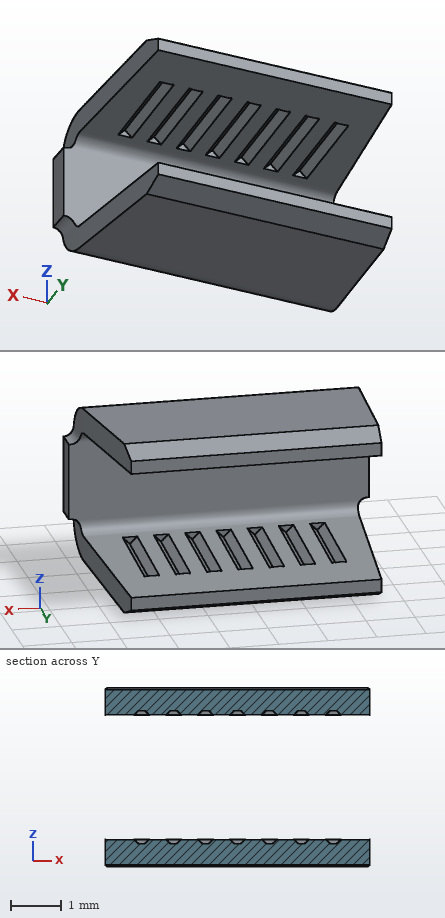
import cadquery as cq
import math

length = 6.12
depth = 3.94
height = 3.56

sheet = 0.51
inner_radius = 0.265
outer_radius = inner_radius + sheet
base_half_height = 0.825

tip_thickness = 0.27
wedge_depth = 0.48

root_half_width = 2.86
bend_half_width = 2.815
tip_half_width = 2.55

tab_half_height = 0.79
tab_fillet = 0.195

groove_count = 7
groove_pitch = 0.635
groove_width = 0.3
groove_depth = 0.15
groove_start = 0.93
groove_end = 2.93
groove_clearance = 0.06

ridge_y = depth - wedge_depth
ridge_rise = height / 2 - base_half_height
ridge_run = ridge_y - outer_radius
ridge_distance = math.hypot(ridge_run, ridge_rise)
lean = math.atan2(ridge_rise, ridge_run) - math.asin(outer_radius / ridge_distance)


def bend_point(radius, angle):
    """Point (y, z) on the upper bend, with the angle measured from the base."""
    return (
        outer_radius - radius * math.cos(angle),
        base_half_height + radius * math.sin(angle),
    )


bend_angle = math.pi / 2 - lean
outer_bend_end = bend_point(outer_radius, bend_angle)
inner_bend_end = bend_point(inner_radius, bend_angle)


def inner_leg_z(y):
    """Height of the upper leg's inner face at depth y."""
    return inner_bend_end[1] + (y - inner_bend_end[0]) * math.tan(lean)


def bent_sheet():
    """Upper half of the U section, run along X and mirrored."""
    tip_z = inner_leg_z(depth)
    half = (
        cq.Workplane("YZ")
        .moveTo(0, 0)
        .lineTo(0, base_half_height)
        .threePointArc(bend_point(outer_radius, bend_angle / 2), outer_bend_end)
        .lineTo(ridge_y, height / 2)
        .lineTo(depth, tip_z + tip_thickness)
        .lineTo(depth, tip_z)
        .lineTo(*inner_bend_end)
        .threePointArc(bend_point(inner_radius, bend_angle / 2), (sheet, base_half_height))
        .lineTo(sheet, 0)
        .close()
        .extrude(length / 2, both=True)
    )
    return half.union(half.mirror("XY"))


def side_envelope():
    """Tapered plan of the legs plus the wider tabs, with filleted inside corners."""
    bend_y = outer_bend_end[0]
    right_side = [
        (root_half_width, 0),
        (bend_half_width, bend_y),
        (tip_half_width, depth),
    ]
    left_side = [(-x, y) for x, y in reversed(right_side)]
    legs = cq.Workplane("XY").polyline(right_side + left_side).close().extrude(height / 2, both=True)
    tabs = cq.Workplane("XY").box(length, bend_y, 2 * tab_half_height, centered=(True, False, True))
    envelope = legs.union(tabs)
    for side in (-1, 1):
        for level in (-1, 1):
            corner = (side * (root_half_width + bend_half_width) / 2, bend_y / 2, level * tab_half_height)
            envelope = envelope.edges(cq.selectors.NearestToPointSelector(corner)).fillet(tab_fillet)
    return envelope


def groove(x):
    """Cutter for one V groove in the upper leg, with ends square to the leg."""
    normal = (0, -math.cos(lean), -math.sin(lean))
    section = cq.Plane(origin=(x, groove_end, inner_leg_z(groove_end)), xDir=(1, 0, 0), normal=normal)
    half_width = groove_width / 2
    outline = [
        (-half_width, 0),
        (-half_width, -groove_clearance),
        (half_width, -groove_clearance),
        (half_width, 0),
        (0, groove_depth),
    ]
    run = (groove_end - groove_start) / math.cos(lean)
    return cq.Workplane(section).polyline(outline).close().extrude(run)


result = bent_sheet().intersect(side_envelope())
for index in range(groove_count):
    cutter = groove((index - (groove_count - 1) / 2) * groove_pitch)
    result = result.cut(cutter).cut(cutter.mirror("XY"))